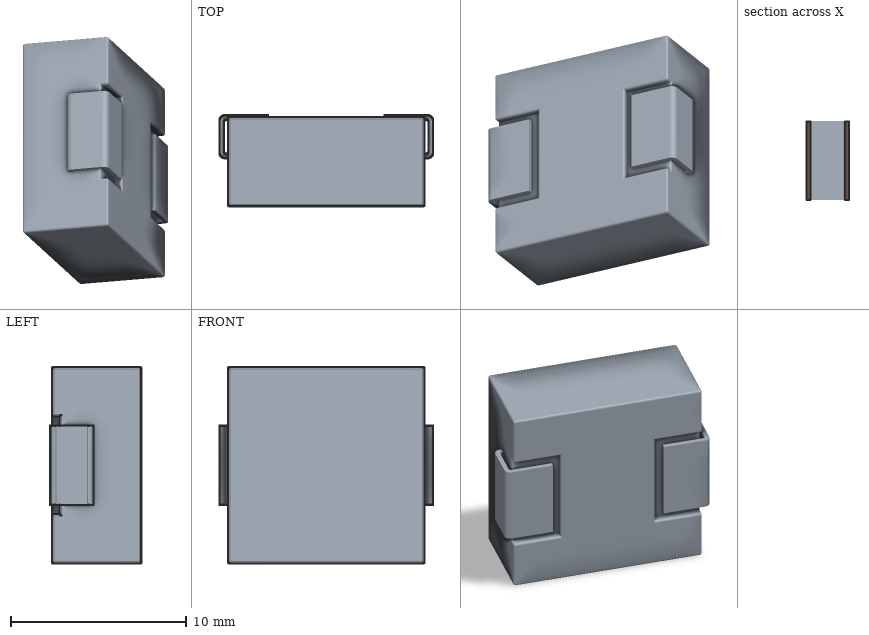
import cadquery as cq

overall_width = 12.19
overall_depth = 5.2
body_side = 11.21
lead_standoff = 0.1
edge_radius = 0.12

lead_width = 4.51
lead_thickness = 0.27
lead_height = 2.46
outer_bend_radius = 0.34
inner_bend_radius = 0.12
foot_length = 2.78

recess_width = 5.55
recess_depth = 0.44
recess_clearance = (recess_width - lead_width) / 2

body_depth = overall_depth - lead_standoff
half_side = body_side / 2
half_width = overall_width / 2
front_y = -overall_depth / 2
mounting_y = front_y + body_depth
foot_y = overall_depth / 2
tail_y = foot_y - lead_height
foot_tip_x = half_width - foot_length
recess_end_x = foot_tip_x - recess_clearance


def make_recess(side):
    """Block that clears one lead foot; it opens on the mounting face and a side face."""
    length = half_side - recess_end_x
    return cq.Workplane("XY").box(length, recess_depth, recess_width).translate(
        (side * (recess_end_x + length / 2), mounting_y - recess_depth / 2, 0)
    )


def make_body():
    """Moulded block with one foot recess per side and rounded outer edges."""
    block = cq.Workplane("XY").box(body_side, body_depth, body_side)
    block = block.translate((0, front_y + body_depth / 2, 0))
    for side in (-1, 1):
        block = block.cut(make_recess(side))
    rim_edges = block.faces("<X or >X or <Y or >Y or <Z or >Z").edges()
    return rim_edges.fillet(edge_radius)


def make_lead(side):
    """Bent strip: foot in the recess, upright beside the body, tail back to the side face."""
    inner_x = half_width - lead_thickness
    foot_inner_y = foot_y - lead_thickness
    tail_inner_y = tail_y + lead_thickness
    profile = (
        cq.Workplane("XY")
        .moveTo(foot_tip_x, foot_y)
        .lineTo(half_width - outer_bend_radius, foot_y)
        .radiusArc((half_width, foot_y - outer_bend_radius), outer_bend_radius)
        .lineTo(half_width, tail_y + outer_bend_radius)
        .radiusArc((half_width - outer_bend_radius, tail_y), outer_bend_radius)
        .lineTo(half_side, tail_y)
        .lineTo(half_side, tail_inner_y)
        .lineTo(inner_x - inner_bend_radius, tail_inner_y)
        .radiusArc((inner_x, tail_inner_y + inner_bend_radius), -inner_bend_radius)
        .lineTo(inner_x, foot_inner_y - inner_bend_radius)
        .radiusArc((inner_x - inner_bend_radius, foot_inner_y), -inner_bend_radius)
        .lineTo(foot_tip_x, foot_inner_y)
        .close()
    )
    lead = profile.extrude(lead_width / 2, both=True)
    return lead if side > 0 else lead.mirror("YZ")


body = make_body()
leads = [make_lead(side) for side in (-1, 1)]

result = cq.Compound.makeCompound([body.val(), *[lead.val() for lead in leads]])